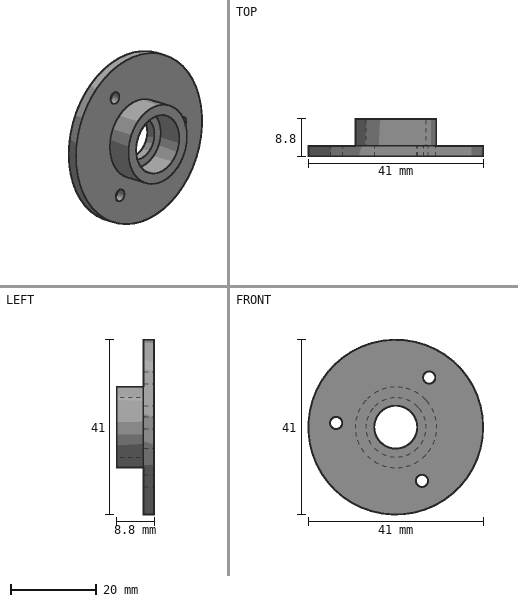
import cadquery as cq

flange_diameter = 41.0
flange_thickness = 2.5

total_length = 8.8
hub_diameter = 19.0
hub_height = total_length - flange_thickness

flange_bore_diameter = 10.0
hub_bore_diameter = 14.0

mount_hole_count = 3
mount_hole_diameter = 2.8
mount_circle_radius = 14.0
first_hole_angle = 56.0


def cylinder_along_y(diameter, length, start_y):
    """Solid cylinder on the part's axis, running from start_y toward +Y."""
    plane = cq.Workplane(cq.Plane(origin=(0, start_y, 0), xDir=(1, 0, 0), normal=(0, 1, 0)))
    return plane.circle(diameter / 2).extrude(length)


def make_body():
    flange = cylinder_along_y(flange_diameter, flange_thickness, 0)
    hub = cylinder_along_y(hub_diameter, hub_height, flange_thickness)
    return flange.union(hub)


def make_bore():
    """Cutter for the stepped central bore; the step lies at the flange's +Y face."""
    flange_bore = cylinder_along_y(flange_bore_diameter, flange_thickness, 0)
    hub_bore = cylinder_along_y(hub_bore_diameter, hub_height, flange_thickness)
    return flange_bore.union(hub_bore)


def make_mount_holes():
    """Cutters for the mounting holes, passing through the flange."""
    hole = cylinder_along_y(mount_hole_diameter, flange_thickness, 0).translate((mount_circle_radius, 0, 0))
    holes = cq.Workplane()
    for index in range(mount_hole_count):
        angle = first_hole_angle + index * 360 / mount_hole_count
        holes = holes.add(hole.rotate((0, 0, 0), (0, 1, 0), -angle))
    return holes.combine()


result = make_body().cut(make_bore()).cut(make_mount_holes())